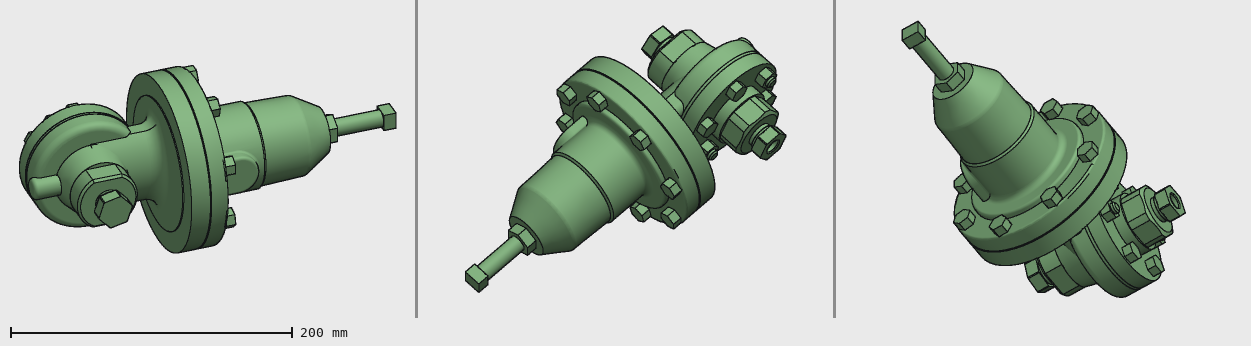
import cadquery as cq
import math


SCREW_TOP = 229.44
SCREW_DIA = 12.7
SCREW_HEAD_WIDTH = 13.7
SCREW_HEAD_LENGTH = 9.3
LOCK_NUT_FLATS = 19.6
LOCK_NUT_TOP = 183.9

BONNET_TOP = 175.7
BONNET_TOP_RADIUS = 17.3
CONE_BOTTOM = 156.0
BARREL_TOP_RADIUS = 29.2
CONE_FILLET = 5.0
BARREL_BOTTOM_RADIUS = 30.3
SHOULDER = 121.6
BASE_RADIUS = 31.8
SHOULDER_CHAMFER = 1.6
BASE_FLARE = 4.6

PAD_TOP = 84.8
PAD_RADIUS = 47.0
PAD_FILLET = 2.0
FLANGE_TOP = 80.2
FLANGE_RADIUS = 65.02
FLANGE_FILLET = 1.6
FLANGE_BOTTOM = 51.9
SEAM_Y = 66.7
SEAM_WIDTH = 0.8
SEAM_DEPTH = 0.4
RAISED_FACE_RADIUS = 49.4
RAISED_FACE_BOTTOM = 51.0

FLANGE_BOLT_COUNT = 8
FLANGE_BOLT_CIRCLE_RADIUS = 57.3
FLANGE_BOLT_HEAD_TOP = 87.4
FLANGE_BOLT_FLATS = 12.7
FLANGE_BOLT_TURN = 67.5

LUG_HALF_WIDTH = 15.0
LUG_CENTRE_Y = 99.5
LUG_FACE_X = 36.5
LUG_FILLET = 2.3
LUG_ROOT_FILLET = 2.2

NECK_LEFT = -16.0
NECK_RIGHT = 12.8
NECK_FLAT_END = -1.3
NECK_HALF_HEIGHT = 28.7
NECK_CORNER_RADIUS = 6.5
NECK_FLARE = 9.5

DISC_RADIUS = 42.85
COVER_LEFT = -30.1
COVER_RIGHT = -18.2
GASKET_RIGHT = -15.9
GASKET_RADIUS = 42.6
DISC_EDGE_FILLET = 5.3

INLET_COLLAR_LEFT = -39.0
INLET_COLLAR_RADIUS = 22.4
INLET_HEX_LEFT = -56.3
INLET_HEX_FLATS = 39.2
INLET_HEX_TURNED_RADIUS = 21.1
INLET_HEX_FACE_RADIUS = 17.6
INLET_HEX_CHAMFER_LENGTH = 1.75
INLET_END = -70.95
INLET_NUT_RIGHT = -61.8
BORE_RADIUS = 5.6
BORE_MOUTH_CHAMFER = 0.8
BORE_DEPTH = 25.0

OUTLET_CONE_ROOT_RADIUS = 27.0
OUTLET_CONE_END_RADIUS = 22.9
OUTLET_CONE_RIGHT = 18.9
OUTLET_HUB_RIGHT = 34.8
OUTLET_HUB_RADIUS = 22.8
OUTLET_HUB_FLATS = 39.8
OUTLET_HUB_CHAMFER = 1.8
OUTLET_NUT_LEFT = 40.2
OUTLET_NUT_RIGHT = 49.8
OUTLET_NUT_TURN = 12.0

PORT_NUT_FLATS = 22.7
PORT_NUT_TURNED_RADIUS = 12.85
PORT_COLLAR_RADIUS = 10.1
PORT_COLLAR_LENGTH = 2.5
PIPE_RADIUS = 9.6

COVER_BOLT_CIRCLE_RADIUS = 33.4
COVER_BOLT_FLATS = 12.7
COVER_BOLT_HEAD = 6.9
COVER_BOLT_ANGLES = (30, 90, 210, 270)
COVER_STUD_ANGLES = (150, 330)
COVER_NUT_HEIGHT = 7.6
STUD_RADIUS = 4.3
STUD_CHAMFER = 1.2
STUD_LENGTH = 10.8

PLUG_RADIUS = 8.0
PLUG_END = -45.05
PLUG_FILLET = 2.8

EMBED = 1.0
EDGE_TOLERANCE = 0.1


def cylinder_x(radius, left, right):
    return cq.Workplane("YZ").workplane(offset=left).circle(radius).extrude(right - left)


def cylinder_y(radius, bottom, top):
    return cq.Workplane("XZ").workplane(offset=-top).circle(radius).extrude(top - bottom)


def hexagon(flats, turn):
    """Corner points of a hexagon; turn is the angle of the first corner."""
    corner_radius = flats / math.sqrt(3)
    angles = [math.radians(turn + 60 * i) for i in range(6)]
    return [(corner_radius * math.cos(a), corner_radius * math.sin(a)) for a in angles]


def hex_x(flats, turn, left, right, y=0, z=0):
    points = [(y + u, z + v) for u, v in hexagon(flats, turn)]
    return cq.Workplane("YZ").workplane(offset=left).polyline(points).close().extrude(right - left)


def hex_y(flats, turn, bottom, top, x=0, z=0):
    points = [(x + u, z + v) for u, v in hexagon(flats, turn)]
    return cq.Workplane("XZ").workplane(offset=-top).polyline(points).close().extrude(top - bottom)


def make_bonnet():
    profile = (
        cq.Workplane("XY")
        .moveTo(0, PAD_TOP - EMBED)
        .lineTo(BASE_RADIUS + BASE_FLARE, PAD_TOP - EMBED)
        .lineTo(BASE_RADIUS + BASE_FLARE, PAD_TOP)
        .radiusArc((BASE_RADIUS, PAD_TOP + BASE_FLARE), BASE_FLARE)
        .lineTo(BASE_RADIUS, SHOULDER - SHOULDER_CHAMFER)
        .lineTo(BASE_RADIUS - SHOULDER_CHAMFER, SHOULDER)
        .lineTo(BARREL_BOTTOM_RADIUS, SHOULDER)
        .lineTo(BARREL_TOP_RADIUS, CONE_BOTTOM)
        .lineTo(BONNET_TOP_RADIUS, BONNET_TOP)
        .lineTo(0, BONNET_TOP)
        .close()
    )
    bonnet = profile.revolve(360, (0, 0, 0), (0, 1, 0))
    cone_edge = cq.selectors.BoxSelector(
        (-BASE_RADIUS, CONE_BOTTOM - EDGE_TOLERANCE, -BASE_RADIUS),
        (BASE_RADIUS, CONE_BOTTOM + EDGE_TOLERANCE, BASE_RADIUS),
        boundingbox=True,
    )
    return bonnet.edges(cone_edge).fillet(CONE_FILLET)


def make_adjusting_screw():
    rod = cylinder_y(SCREW_DIA / 2, BONNET_TOP - EMBED, SCREW_TOP - EMBED)
    head = cq.Workplane("XY").box(SCREW_HEAD_WIDTH, SCREW_HEAD_LENGTH, SCREW_DIA)
    head = head.translate((0, SCREW_TOP - SCREW_HEAD_LENGTH / 2, 0))
    lock_nut = hex_y(LOCK_NUT_FLATS, 90, BONNET_TOP - EMBED, LOCK_NUT_TOP)
    return rod.union(head).union(lock_nut)


def make_vent_lug():
    lug = (
        cq.Workplane("YZ")
        .moveTo(FLANGE_TOP, -LUG_HALF_WIDTH)
        .lineTo(LUG_CENTRE_Y, -LUG_HALF_WIDTH)
        .threePointArc((LUG_CENTRE_Y + LUG_HALF_WIDTH, 0), (LUG_CENTRE_Y, LUG_HALF_WIDTH))
        .lineTo(FLANGE_TOP, LUG_HALF_WIDTH)
        .close()
        .extrude(LUG_FACE_X)
    )
    return lug.faces(">X").edges("not <Y").fillet(LUG_FILLET)


def make_lug_with_root():
    """Vent lug blended into a plain cylinder that matches the base of the bonnet."""
    base = cylinder_y(BASE_RADIUS, FLANGE_TOP, SHOULDER - SHOULDER_CHAMFER)
    root = cq.selectors.BoxSelector(
        (0, FLANGE_TOP - EMBED, -LUG_HALF_WIDTH - EMBED),
        (BASE_RADIUS + EMBED, LUG_CENTRE_Y + LUG_HALF_WIDTH + EMBED, LUG_HALF_WIDTH + EMBED),
        boundingbox=True,
    )
    return base.union(make_vent_lug()).edges(root).fillet(LUG_ROOT_FILLET)


def make_flange():
    flange = cylinder_y(FLANGE_RADIUS, FLANGE_BOTTOM, FLANGE_TOP)
    flange = flange.faces(">Y").edges().fillet(FLANGE_FILLET)
    seam_bottom = SEAM_Y - SEAM_WIDTH / 2
    seam_top = SEAM_Y + SEAM_WIDTH / 2
    seam = cylinder_y(FLANGE_RADIUS + EMBED, seam_bottom, seam_top).cut(
        cylinder_y(FLANGE_RADIUS - SEAM_DEPTH, seam_bottom, seam_top)
    )
    pad = cylinder_y(PAD_RADIUS, FLANGE_TOP - EMBED, PAD_TOP)
    pad = pad.faces(">Y").edges().fillet(PAD_FILLET)
    raised_face = cylinder_y(RAISED_FACE_RADIUS, RAISED_FACE_BOTTOM, FLANGE_BOTTOM + EMBED)
    return flange.cut(seam).union(pad).union(raised_face)


def make_flange_bolts():
    bolts = cq.Workplane("XY")
    pitch = 360 / FLANGE_BOLT_COUNT
    for i in range(FLANGE_BOLT_COUNT):
        angle = pitch * (i + 0.5)
        x = FLANGE_BOLT_CIRCLE_RADIUS * math.cos(math.radians(angle))
        z = FLANGE_BOLT_CIRCLE_RADIUS * math.sin(math.radians(angle))
        turn = angle + FLANGE_BOLT_TURN
        head = hex_y(FLANGE_BOLT_FLATS, turn, FLANGE_TOP - EMBED, FLANGE_BOLT_HEAD_TOP, x, z)
        bolts = bolts.union(head)
    return bolts


def make_neck():
    """D-shaped neck: flat -X side with round corners, arched +X side, flared at the flange."""
    corner_x = NECK_LEFT + NECK_CORNER_RADIUS
    corner_z = NECK_HALF_HEIGHT - NECK_CORNER_RADIUS
    return (
        cq.Workplane("XZ")
        .moveTo(NECK_LEFT, -corner_z)
        .lineTo(NECK_LEFT, corner_z)
        .radiusArc((corner_x, NECK_HALF_HEIGHT), NECK_CORNER_RADIUS)
        .lineTo(NECK_FLAT_END, NECK_HALF_HEIGHT)
        .threePointArc((NECK_RIGHT, 0), (NECK_FLAT_END, -NECK_HALF_HEIGHT))
        .lineTo(corner_x, -NECK_HALF_HEIGHT)
        .radiusArc((NECK_LEFT, -corner_z), NECK_CORNER_RADIUS)
        .close()
        .extrude(-RAISED_FACE_BOTTOM - EMBED)
    )


def flare_neck(body):
    reach = RAISED_FACE_RADIUS - EMBED
    root = cq.selectors.BoxSelector(
        (-reach, RAISED_FACE_BOTTOM - EDGE_TOLERANCE, -reach),
        (reach, RAISED_FACE_BOTTOM + EDGE_TOLERANCE, reach),
        boundingbox=True,
    )
    return body.edges(root).fillet(NECK_FLARE)


def make_valve_body():
    cover = cylinder_x(DISC_RADIUS, COVER_LEFT, COVER_RIGHT)
    gasket = cylinder_x(GASKET_RADIUS, COVER_RIGHT, GASKET_RIGHT)
    disc = cylinder_x(DISC_RADIUS, GASKET_RIGHT, 0).faces(">X").edges().fillet(DISC_EDGE_FILLET)
    plug = cylinder_y(PLUG_RADIUS, PLUG_END, 0).faces("<Y").edges().fillet(PLUG_FILLET)
    return cover.union(gasket).union(disc).union(plug)


def port_nut(turn, left, right):
    """Hexagon nut on the flow axis with its corners turned off."""
    turned = cylinder_x(PORT_NUT_TURNED_RADIUS, left, right)
    return hex_x(PORT_NUT_FLATS, turn, left, right).intersect(turned)


def make_inlet():
    collar = cylinder_x(INLET_COLLAR_RADIUS, INLET_COLLAR_LEFT, COVER_LEFT + EMBED)
    chamfer_depth = INLET_HEX_TURNED_RADIUS - INLET_HEX_FACE_RADIUS
    turned = cylinder_x(INLET_HEX_TURNED_RADIUS, INLET_HEX_LEFT, INLET_COLLAR_LEFT + EMBED)
    turned = turned.faces("<X").edges().chamfer(INLET_HEX_CHAMFER_LENGTH, chamfer_depth)
    body_hex = hex_x(INLET_HEX_FLATS, 0, INLET_HEX_LEFT, INLET_COLLAR_LEFT + EMBED)
    pipe = cylinder_x(PIPE_RADIUS, INLET_NUT_RIGHT - EMBED, INLET_HEX_LEFT + EMBED)
    nut = port_nut(0, INLET_END, INLET_NUT_RIGHT)
    nut_collar = cylinder_x(
        PORT_COLLAR_RADIUS, INLET_NUT_RIGHT - EMBED, INLET_NUT_RIGHT + PORT_COLLAR_LENGTH
    )
    return collar.union(body_hex.intersect(turned)).union(pipe).union(nut_collar).union(nut)


def make_inlet_bore():
    bore = cylinder_x(BORE_RADIUS, INLET_END, INLET_END + BORE_DEPTH)
    mouth = cq.Solid.makeCone(
        BORE_RADIUS + BORE_MOUTH_CHAMFER,
        BORE_RADIUS,
        BORE_MOUTH_CHAMFER,
        pnt=cq.Vector(INLET_END, 0, 0),
        dir=cq.Vector(1, 0, 0),
    )
    return bore.union(cq.Workplane(mouth))


def make_outlet():
    cone = cq.Workplane(
        cq.Solid.makeCone(
            OUTLET_CONE_ROOT_RADIUS,
            OUTLET_CONE_END_RADIUS,
            OUTLET_CONE_RIGHT,
            dir=cq.Vector(1, 0, 0),
        )
    )
    hub = cylinder_x(OUTLET_HUB_RADIUS, OUTLET_CONE_RIGHT, OUTLET_HUB_RIGHT)
    flats = cq.Workplane("XY").box(2 * OUTLET_HUB_RIGHT, 2 * OUTLET_HUB_RADIUS, OUTLET_HUB_FLATS)
    hub = hub.intersect(flats).faces(">X").edges().chamfer(OUTLET_HUB_CHAMFER)
    pipe = cylinder_x(PIPE_RADIUS, OUTLET_HUB_RIGHT - EMBED, OUTLET_NUT_LEFT + EMBED)
    nut = port_nut(OUTLET_NUT_TURN, OUTLET_NUT_LEFT, OUTLET_NUT_RIGHT)
    nut_collar = cylinder_x(
        PORT_COLLAR_RADIUS, OUTLET_NUT_LEFT - PORT_COLLAR_LENGTH, OUTLET_NUT_LEFT + EMBED
    )
    return cone.union(hub).union(pipe).union(nut_collar).union(nut)


def cover_bolt_place(angle):
    y = COVER_BOLT_CIRCLE_RADIUS * math.cos(math.radians(angle))
    z = COVER_BOLT_CIRCLE_RADIUS * math.sin(math.radians(angle))
    return y, z


def make_cover_bolts():
    bolts = cq.Workplane("XY")
    inside = COVER_LEFT + EMBED
    for angle in COVER_BOLT_ANGLES:
        y, z = cover_bolt_place(angle)
        bolts = bolts.union(hex_x(COVER_BOLT_FLATS, 0, COVER_LEFT - COVER_BOLT_HEAD, inside, y, z))
    for angle in COVER_STUD_ANGLES:
        y, z = cover_bolt_place(angle)
        nut = hex_x(COVER_BOLT_FLATS, 0, COVER_LEFT - COVER_NUT_HEIGHT, inside, y, z)
        stud = cylinder_x(STUD_RADIUS, COVER_LEFT - STUD_LENGTH, inside)
        stud = stud.faces("<X").edges().chamfer(STUD_CHAMFER)
        bolts = bolts.union(nut).union(stud.translate((0, y, z)))
    return bolts


result = make_flange().union(make_neck())
result = flare_neck(result)
result = result.union(make_bonnet()).union(make_lug_with_root()).union(make_adjusting_screw())
result = result.union(make_flange_bolts())
result = result.union(make_valve_body()).union(make_outlet()).union(make_inlet())
result = result.union(make_cover_bolts()).cut(make_inlet_bore())